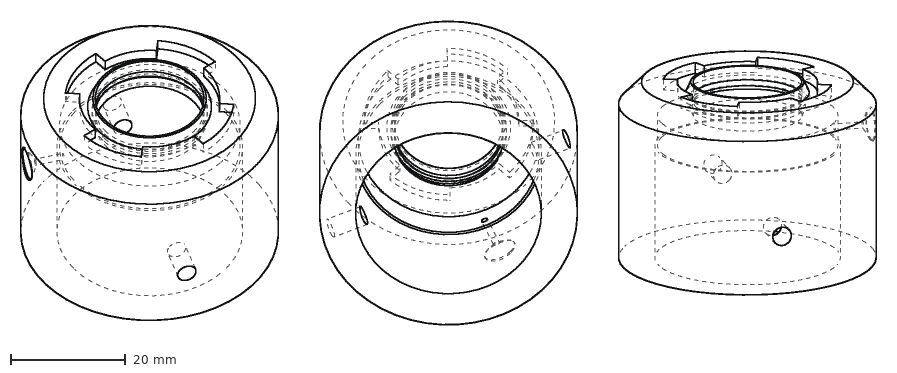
import cadquery as cq
import math

outer_radius = 22.5
height = 32.0
chamfer_radial = 4.0
chamfer_height = 4.0

recess_depth = 2.0
recess_inner_radius = 12.25
recess_outer_radius = 14.75
bay_count = 4
bay_angle = 45.0
neck_base_radius = 10.8
neck_top_radius = 9.9

bore_radius = 9.5
groove_radius = 10.1
upper_groove_top = 2.5
upper_groove_bottom = 3.6
lower_groove_corner = 4.35
neck_bottom = 6.05

chamber_radius = 15.75
chamber_depth = 11.48
cavity_radius = 16.2

cross_hole_radius = 1.65
cross_hole_z = 10.45

dimple_radius = 2.95
dimple_rim_radius = 2.85
dimple_rim_depth = 0.25
dimple_point_angle = 118.0
dimple_z = height - 9.5
pin_hole_radius = 0.55


def disc(radius, z, thickness):
    """Cylinder about Z, rising from z."""
    return cq.Workplane("XY").workplane(offset=z).circle(radius).extrude(thickness)


def make_body():
    """Turned body with the bore, grooves and stepped cavity."""
    profile = [
        (cavity_radius, 0),
        (outer_radius, 0),
        (outer_radius, height - chamfer_height),
        (outer_radius - chamfer_radial, height),
        (bore_radius, height),
        (bore_radius, height - upper_groove_top),
        (groove_radius, height - upper_groove_top),
        (bore_radius, height - upper_groove_bottom),
        (groove_radius, height - upper_groove_bottom),
        (groove_radius, height - lower_groove_corner),
        (bore_radius, height - neck_bottom),
        (chamber_radius, height - neck_bottom),
        (chamber_radius, height - chamber_depth),
        (cavity_radius, height - chamber_depth),
    ]
    return cq.Workplane("XZ").polyline(profile).close().revolve(360, (0, 0), (0, 1))


def polar(radius, degrees):
    angle = math.radians(degrees)
    return (radius * math.cos(angle), radius * math.sin(angle))


def make_bay(middle_angle):
    """Sector of the recess centred on the given direction."""
    start = middle_angle - bay_angle / 2
    end = middle_angle + bay_angle / 2
    return (
        cq.Workplane("XY")
        .workplane(offset=height - recess_depth)
        .moveTo(0, 0)
        .lineTo(*polar(recess_outer_radius, start))
        .threePointArc(polar(recess_outer_radius, middle_angle), polar(recess_outer_radius, end))
        .close()
        .extrude(recess_depth)
    )


def make_recess():
    """Round recess with outward bays, leaving out the conical neck."""
    recess = disc(recess_inner_radius, height - recess_depth, recess_depth)
    bay_pitch = 360 / bay_count
    for index in range(bay_count):
        recess = recess.union(make_bay((index + 0.5) * bay_pitch))
    neck = (
        cq.Workplane("XY")
        .workplane(offset=height - recess_depth)
        .circle(neck_base_radius)
        .workplane(offset=recess_depth)
        .circle(neck_top_radius)
        .loft()
    )
    return recess.cut(neck)


def make_cross_hole():
    """Hole through both side walls along X."""
    return (
        cq.Workplane("YZ")
        .workplane(offset=-outer_radius)
        .center(0, cross_hole_z)
        .circle(cross_hole_radius)
        .extrude(2 * outer_radius)
    )


def make_dimple():
    """Flared conical dimple running into a pin hole that reaches the chamber."""
    half_angle = math.radians(dimple_point_angle / 2)
    cone_depth = (dimple_rim_radius - pin_hole_radius) / math.tan(half_angle)
    surface = -outer_radius
    rim = surface + dimple_rim_depth
    cone_end = rim + cone_depth
    profile = [
        (0, surface),
        (dimple_radius, surface),
        (dimple_rim_radius, rim),
        (pin_hole_radius, cone_end),
        (pin_hole_radius, -chamber_radius + pin_hole_radius),
        (0, -chamber_radius + pin_hole_radius),
    ]
    cutter = cq.Workplane("XY").polyline(profile).close().revolve(360, (0, 0), (0, 1))
    return cutter.translate((0, 0, dimple_z))


result = make_body().cut(make_recess()).cut(make_cross_hole()).cut(make_dimple())